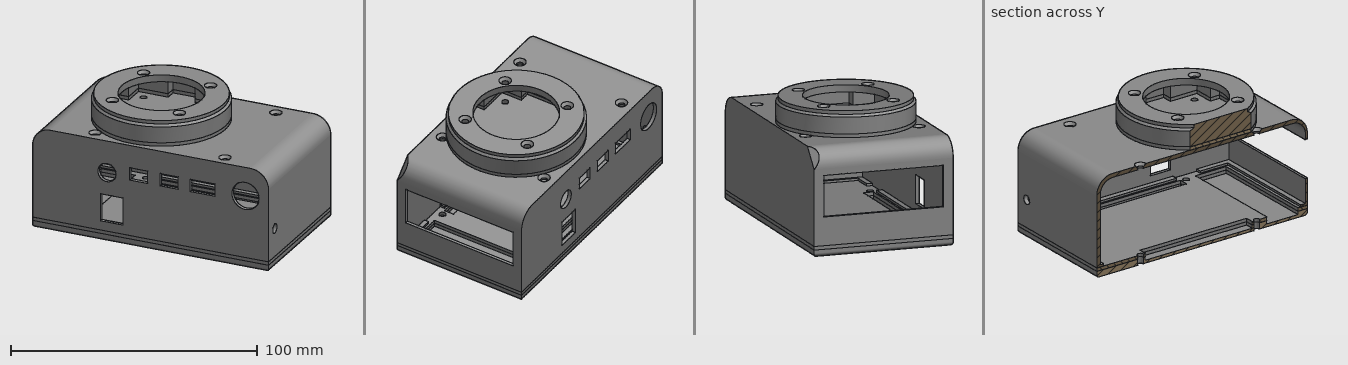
import cadquery as cq
import math

LENGTH = 105.5
WIDTH = 60.0
TOTAL_HEIGHT = 55.5

LAYER = 1.5
LID_HEIGHT = 2 * LAYER
HOUSING_BOTTOM = LID_HEIGHT + LAYER
HOUSING_TOP = 44.5
RING_BOTTOM = HOUSING_TOP + LAYER
RING_LIP_BOTTOM = TOTAL_HEIGHT - 2 * LAYER

WALL = 2.0
FRONT_WALL = 1.6
WINDOW_WALL = 1.3
ROOF_RADIUS = 8.0
INNER_ROOF_RADIUS = ROOF_RADIUS - WALL
CORNER_CUT_DEPTH = 2.8

SCREW_CENTRE_X = 1.7
SCREW_SPACING_X = 58.0
SCREW_SPACING_Y = 49.0
SCREW_RADIUS = 1.4
HEAD_RADIUS = 2.5

LEDGE_HEIGHT = 1.0
LEDGE_INNER_X = 49.2
LEDGE_INNER_Y = 26.0
LEDGE_GAP_START_X = -35.5
LEDGE_GAP_END_X = -23.6

FRONT_ROUND_HOLES = [(-19.5, 30.5, 4.0), (42.4, 31.9, 6.0)]
FRONT_SLOTS = [
    (-5.4, 31.9, 8.0, 5.5),
    (8.2, 31.9, 8.0, 5.5),
    (23.2, 31.9, 11.0, 5.5),
    (-17.4, 14.6, 10.0, 12.0),
]

WINDOW_WIDTH = 51.7
WINDOW_BOTTOM = 16.5
WINDOW_HEIGHT = 17.3
CABLE_Y = -24.0
CABLE_Z = 16.9
CABLE_RADIUS = 2.0

LID_EDGE_RADIUS = 1.5
RIM_WIDTH = 5.0
END_POCKET_INNER_X = -32.4
SIDE_POCKET_START_X = -24.9
SIDE_POCKET_INNER_Y = 20.8

RING_X = -9.3
RING_Y = 0.5
RING_RADIUS = 28.5
RING_CHAMFER = 1.0
RING_RIM_HEIGHT = LAYER
LENS_RADIUS = 17.6
RING_SCREW_SPACING = 30.0
CAVITY_SIZE = 38.6
CAVITY_SPAN = 47.9
CAVITY_ARM_ALONG_X = 20.0
CAVITY_ARM_ALONG_Y = 12.0


def block(x_min, x_max, y_min, y_max, z_min, z_max):
    """Box given by its limits along each axis."""
    box = cq.Workplane().box(x_max - x_min, y_max - y_min, z_max - z_min, centered=False)
    return box.translate((x_min, y_min, z_min))


def slab(z_min, z_max, inset=0):
    """Full-size rectangular layer, optionally shrunk on every side."""
    half_x = LENGTH / 2 - inset
    half_y = WIDTH / 2 - inset
    return block(-half_x, half_x, -half_y, half_y, z_min, z_max)


def upright(points, radius, z_min, z_max):
    """Vertical cylinders of one radius at the given XY points."""
    return cq.Workplane().workplane(offset=z_min).pushPoints(points).circle(radius).extrude(z_max - z_min)


def countersinks(points, z_top):
    """45 degree screw-head cones that open at z_top."""
    depth = HEAD_RADIUS - SCREW_RADIUS
    cone = cq.Solid.makeCone(SCREW_RADIUS, HEAD_RADIUS, depth)
    sinks = cq.Workplane()
    for x, y in points:
        sinks = sinks.add(cone.moved(cq.Location(cq.Vector(x, y, z_top - depth))))
    return sinks.combine()


def rectangle_corners(centre_x, centre_y, spacing_x, spacing_y):
    return [
        (centre_x + sx * spacing_x / 2, centre_y + sy * spacing_y / 2)
        for sx in (-1, 1)
        for sy in (-1, 1)
    ]


CASE_SCREWS = rectangle_corners(SCREW_CENTRE_X, 0, SCREW_SPACING_X, SCREW_SPACING_Y)
RING_SCREWS = rectangle_corners(RING_X, RING_Y, RING_SCREW_SPACING, RING_SCREW_SPACING)


def housing_shell():
    """Open-bottomed box with rounded roof edges at both ends."""
    outer = slab(HOUSING_BOTTOM, HOUSING_TOP).edges("|Y and >Z").fillet(ROOF_RADIUS)
    inner = block(
        -LENGTH / 2 + WINDOW_WALL, LENGTH / 2 - WALL,
        -WIDTH / 2 + FRONT_WALL, WIDTH / 2 - WALL,
        HOUSING_BOTTOM, HOUSING_TOP - WALL,
    )
    return outer.cut(inner.edges("|Y and >Z").fillet(INNER_ROOF_RADIUS))


def inner_ledge():
    """Low ledge around the foot of the walls, interrupted at the screws."""
    top = HOUSING_BOTTOM + LEDGE_HEIGHT
    opening = block(-LEDGE_INNER_X, LEDGE_INNER_X, -LEDGE_INNER_Y, LEDGE_INNER_Y, HOUSING_BOTTOM, top)
    ledge = slab(HOUSING_BOTTOM, top, WINDOW_WALL).cut(opening)
    half_y = WIDTH / 2 - WINDOW_WALL
    gap = block(LEDGE_GAP_START_X, LEDGE_GAP_END_X, -half_y, half_y, HOUSING_BOTTOM, top)
    return ledge.cut(gap).cut(gap.mirror("YZ", (SCREW_CENTRE_X, 0, 0)))


def clipped_corner():
    """Wedge that flattens the -X end of the roof rounding at the +Y side.

    The flat holds the chord of the rounding on the +Y side and leans in until
    it touches the middle of the rounding CORNER_CUT_DEPTH away from that side.
    """
    x, y, z = -LENGTH / 2, WIDTH / 2, HOUSING_TOP
    reach = CORNER_CUT_DEPTH / (math.sqrt(2) - 1)
    corner = cq.Vector(x, y, z)
    foot = cq.Vector(x, y, z - ROOF_RADIUS)
    head = cq.Vector(x + ROOF_RADIUS, y, z)
    tip = cq.Vector(x, y - reach, z)
    triangles = [(corner, foot, head), (corner, foot, tip), (corner, head, tip), (foot, head, tip)]
    faces = [cq.Face.makeFromWires(cq.Wire.makePolygon(list(points), close=True)) for points in triangles]
    return cq.Workplane(cq.Solid.makeSolid(cq.Shell.makeShell(faces)))


def front_openings():
    """Round and rectangular connector openings through the front wall."""
    front = cq.Workplane("XZ", origin=(0, -WIDTH / 2 + FRONT_WALL, 0))
    openings = cq.Workplane()
    for x, z, radius in FRONT_ROUND_HOLES:
        openings = openings.add(front.center(x, z).circle(radius).extrude(FRONT_WALL))
    for x, z, width, height in FRONT_SLOTS:
        openings = openings.add(front.center(x, z).rect(width, height).extrude(FRONT_WALL))
    return openings.combine()


def make_housing():
    body = housing_shell().union(inner_ledge())
    body = body.cut(clipped_corner())
    body = body.cut(front_openings())
    body = body.cut(block(
        -LENGTH / 2, -LENGTH / 2 + WINDOW_WALL,
        -WINDOW_WIDTH / 2, WINDOW_WIDTH / 2,
        WINDOW_BOTTOM, WINDOW_BOTTOM + WINDOW_HEIGHT,
    ))
    cable_wall = cq.Workplane("YZ", origin=(LENGTH / 2 - WALL, 0, 0))
    body = body.cut(cable_wall.center(CABLE_Y, CABLE_Z).circle(CABLE_RADIUS).extrude(WALL))
    body = body.cut(upright(CASE_SCREWS + RING_SCREWS, SCREW_RADIUS, HOUSING_TOP - WALL, HOUSING_TOP))
    return body.cut(countersinks(CASE_SCREWS, HOUSING_TOP))


def lid_pockets(z_min, z_max):
    """One pocket at the -X end and one along each long side."""
    rim_x = LENGTH / 2 - RIM_WIDTH
    rim_y = WIDTH / 2 - RIM_WIDTH
    side_end_x = 2 * SCREW_CENTRE_X - SIDE_POCKET_START_X
    pockets = block(-rim_x, END_POCKET_INNER_X, -rim_y, rim_y, z_min, z_max)
    side = block(SIDE_POCKET_START_X, side_end_x, SIDE_POCKET_INNER_Y, rim_y, z_min, z_max)
    return pockets.union(side).union(side.mirror("XZ"))


def make_lid():
    body = slab(0, LID_HEIGHT).edges("<Z").fillet(LID_EDGE_RADIUS)
    body = body.cut(lid_pockets(LID_HEIGHT - LAYER, LID_HEIGHT))
    return body.cut(upright(CASE_SCREWS, SCREW_RADIUS, 0, LID_HEIGHT))


def make_lid_gasket():
    body = slab(LID_HEIGHT, HOUSING_BOTTOM).cut(lid_pockets(LID_HEIGHT, HOUSING_BOTTOM))
    return body.cut(upright(CASE_SCREWS, SCREW_RADIUS, LID_HEIGHT, HOUSING_BOTTOM))


def ring_cavity(z_min, z_max):
    """Square cavity with an arm reaching out of the middle of each side."""
    base = cq.Workplane(origin=(RING_X, RING_Y, z_min))
    height = z_max - z_min
    cavity = base.rect(CAVITY_SIZE, CAVITY_SIZE).extrude(height)
    cavity = cavity.union(base.rect(CAVITY_SPAN, CAVITY_ARM_ALONG_X).extrude(height))
    return cavity.union(base.rect(CAVITY_ARM_ALONG_Y, CAVITY_SPAN).extrude(height))


def make_ring_gasket():
    body = upright([(RING_X, RING_Y)], RING_RADIUS, HOUSING_TOP, RING_BOTTOM)
    return body.cut(ring_cavity(HOUSING_TOP, RING_BOTTOM))


def make_ring():
    centre = [(RING_X, RING_Y)]
    chamfer_top = TOTAL_HEIGHT - RING_RIM_HEIGHT
    rim_radius = RING_RADIUS - RING_CHAMFER
    body = upright(centre, RING_RADIUS, RING_BOTTOM, chamfer_top).faces(">Z").chamfer(RING_CHAMFER)
    body = body.union(upright(centre, rim_radius, chamfer_top, TOTAL_HEIGHT))
    body = body.cut(ring_cavity(RING_BOTTOM, RING_LIP_BOTTOM))
    body = body.cut(upright(centre, LENS_RADIUS, RING_LIP_BOTTOM, TOTAL_HEIGHT))
    body = body.cut(upright(RING_SCREWS, SCREW_RADIUS, RING_LIP_BOTTOM, TOTAL_HEIGHT))
    return body.cut(countersinks(RING_SCREWS, TOTAL_HEIGHT))


lid = make_lid()
lid_gasket = make_lid_gasket()
housing = make_housing()
ring_gasket = make_ring_gasket()
ring = make_ring()

result = cq.Compound.makeCompound(
    [lid.val(), lid_gasket.val(), housing.val(), ring_gasket.val(), ring.val()]
)